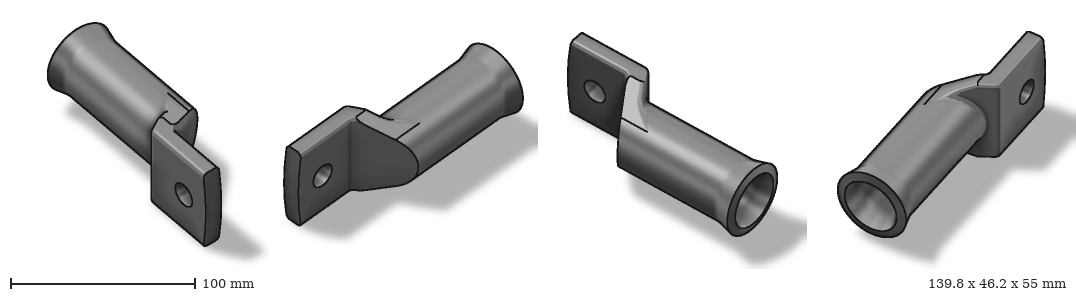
import cadquery as cq
import math

NearestPoint = cq.selectors.NearestToPointSelector

WALL = 5.5
TUBE_RADIUS = 19.25
BORE_RADIUS = TUBE_RADIUS - WALL
BORE_DEPTH = 75.0

FLARE_ANGLE = math.radians(15.0)
FLARE_BEND_RADIUS = 11.4
FLARE_RIM_RADIUS = 22.0
RIM_X = WALL * math.sin(FLARE_ANGLE)
MOUTH_RADIUS = FLARE_RIM_RADIUS - WALL * math.cos(FLARE_ANGLE)
BEND_END_RADIUS = TUBE_RADIUS + FLARE_BEND_RADIUS * (1 - math.cos(FLARE_ANGLE))
BEND_END_X = RIM_X + (FLARE_RIM_RADIUS - BEND_END_RADIUS) / math.tan(FLARE_ANGLE)
FLARE_BEND_X = BEND_END_X + FLARE_BEND_RADIUS * math.sin(FLARE_ANGLE)

OVERALL_LENGTH = 139.78
OVERALL_DEPTH = 46.2
PAD_WIDTH = 55.0
PLATE_THICKNESS = 2 * WALL
SLANT_ANGLE = math.radians(60.0)
TUBE_TOP_LENGTH = 79.7
PAD_END_RADIUS = 165.0
PAD_BOTTOM_Y = FLARE_RIM_RADIUS - OVERALL_DEPTH
PAD_TOP_Y = PAD_BOTTOM_Y + PLATE_THICKNESS

TAPER_START_Y = -12.6
TAPER_START_DISTANCE = math.hypot(TAPER_START_Y, PAD_WIDTH / 2)
TAPER_START_ANGLE = math.atan2(PAD_WIDTH / 2, TAPER_START_Y)
TANGENT_ANGLE = TAPER_START_ANGLE - math.acos(TUBE_RADIUS / TAPER_START_DISTANCE)
TANGENT_MARGIN = 0.3
TAPER_END_Y = TUBE_RADIUS * math.cos(TANGENT_ANGLE) - TANGENT_MARGIN

STRIP_WIDTH = 70.0
STRIP_TOP_Y = 35.0

HOLE_DIAMETER = 14.5
HOLE_X = 120.9

BEND_RADIUS = 4.0
EDGE_RADIUS = 3.0
TUBE_FILLET_RADIUS = 4.0


def upper_slant_x(y):
    """X of the slanted upper face at height y."""
    return TUBE_TOP_LENGTH + (TUBE_RADIUS - y) / math.tan(SLANT_ANGLE)


def lower_slant_x(y):
    """X of the slanted lower face, one plate thickness behind the upper one."""
    return upper_slant_x(y) - PLATE_THICKNESS / math.sin(SLANT_ANGLE)


def taper_z(y):
    """Half width of the tapered sides at height y: the tangent line of the tube circle."""
    return (TUBE_RADIUS - y * math.cos(TANGENT_ANGLE)) / math.sin(TANGENT_ANGLE)


def make_strip():
    """Untrimmed pad and slanted plate: a straight-sided strip with rounded bends."""
    lower_bend = (lower_slant_x(PAD_BOTTOM_Y), PAD_BOTTOM_Y)
    upper_bend = (upper_slant_x(PAD_TOP_Y), PAD_TOP_Y)
    strip = (
        cq.Workplane("XY")
        .polyline([
            lower_bend,
            (OVERALL_LENGTH, PAD_BOTTOM_Y),
            (OVERALL_LENGTH, PAD_TOP_Y),
            upper_bend,
            (upper_slant_x(STRIP_TOP_Y), STRIP_TOP_Y),
            (lower_slant_x(STRIP_TOP_Y), STRIP_TOP_Y),
        ])
        .close()
        .extrude(STRIP_WIDTH / 2, both=True)
    )
    for x, y in (lower_bend, upper_bend):
        strip = strip.edges(NearestPoint((x, y, 0))).fillet(BEND_RADIUS)
    return strip


def make_tube():
    """Solid tube, cut off along the slanted upper face."""
    side_outline = (
        cq.Workplane("XY")
        .polyline([
            (FLARE_BEND_X, -TUBE_RADIUS),
            (upper_slant_x(-TUBE_RADIUS), -TUBE_RADIUS),
            (TUBE_TOP_LENGTH, TUBE_RADIUS),
            (FLARE_BEND_X, TUBE_RADIUS),
        ])
        .close()
        .extrude(TUBE_RADIUS, both=True)
    )
    bar = cq.Workplane("YZ").circle(TUBE_RADIUS).extrude(OVERALL_LENGTH)
    return bar.intersect(side_outline)


def join_with_fillet(strip, tube):
    """Join strip and tube, blending the tube into the slanted lower face all round."""
    return strip.union(tube).edges("%ELLIPSE").fillet(TUBE_FILLET_RADIUS)


def trim_to_pad_outline(body):
    """Trim the sides to full pad width, then the taper, and the free end to its shallow arc.

    Everything above the taper is cut away, just short of where the taper touches the tube.
    """
    half_width = PAD_WIDTH / 2
    end_outline = (
        cq.Workplane("YZ")
        .polyline([
            (PAD_BOTTOM_Y, -half_width),
            (TAPER_START_Y, -half_width),
            (TAPER_END_Y, -taper_z(TAPER_END_Y)),
            (TAPER_END_Y, taper_z(TAPER_END_Y)),
            (TAPER_START_Y, half_width),
            (PAD_BOTTOM_Y, half_width),
        ])
        .close()
        .extrude(OVERALL_LENGTH)
    )
    free_end = (
        cq.Workplane("XZ")
        .center(OVERALL_LENGTH - PAD_END_RADIUS, 0)
        .circle(PAD_END_RADIUS)
        .extrude(OVERALL_DEPTH, both=True)
    )
    return body.intersect(end_outline).intersect(free_end)


def round_side_edges(body):
    """Round the pad sides, top and bottom, and the underside of the slanted plate."""
    half_width = PAD_WIDTH / 2
    taper_y = TAPER_START_Y / 2
    straight_y = (TAPER_START_Y + PAD_BOTTOM_Y) / 2
    edges = []
    for side in (-1, 1):
        edge_points = [
            (HOLE_X, PAD_BOTTOM_Y, side * half_width),
            (HOLE_X, PAD_TOP_Y, side * half_width),
            (lower_slant_x(straight_y), straight_y, side * half_width),
            (lower_slant_x(taper_y), taper_y, side * taper_z(taper_y)),
        ]
        for point in edge_points:
            edges += body.edges(NearestPoint(point)).vals()
    return body.newObject(edges).fillet(EDGE_RADIUS)


def wall_bend_point(bend_radius, angle):
    """Point on one face of the flare bend, turned by an angle from the straight tube."""
    x = FLARE_BEND_X - bend_radius * math.sin(angle)
    radius = TUBE_RADIUS + FLARE_BEND_RADIUS - bend_radius * math.cos(angle)
    return (x, radius)


def revolve_about_tube_axis(outline):
    """Close a half outline and revolve it fully about the X axis."""
    return outline.close().revolve(360, (0, 0, 0), (1, 0, 0))


def make_flare():
    """Solid flared mouth; its end face is square to the flared wall."""
    return revolve_about_tube_axis(
        cq.Workplane("XY")
        .moveTo(FLARE_BEND_X, 0)
        .lineTo(FLARE_BEND_X, TUBE_RADIUS)
        .threePointArc(
            wall_bend_point(FLARE_BEND_RADIUS, FLARE_ANGLE / 2),
            wall_bend_point(FLARE_BEND_RADIUS, FLARE_ANGLE),
        )
        .lineTo(RIM_X, FLARE_RIM_RADIUS)
        .lineTo(0, MOUTH_RADIUS)
        .lineTo(0, 0)
    )


def make_bore():
    """Blind bore that follows the flare at a constant wall thickness."""
    inner_bend_radius = FLARE_BEND_RADIUS + WALL
    return revolve_about_tube_axis(
        cq.Workplane("XY")
        .moveTo(0, 0)
        .lineTo(0, MOUTH_RADIUS)
        .lineTo(*wall_bend_point(inner_bend_radius, FLARE_ANGLE))
        .threePointArc(
            wall_bend_point(inner_bend_radius, FLARE_ANGLE / 2),
            (FLARE_BEND_X, BORE_RADIUS),
        )
        .lineTo(BORE_DEPTH, BORE_RADIUS)
        .lineTo(BORE_DEPTH, 0)
    )


def make_bolt_hole():
    """Cylinder for the bolt hole, running along Y right through the pad."""
    return (
        cq.Workplane("XZ")
        .center(HOLE_X, 0)
        .circle(HOLE_DIAMETER / 2)
        .extrude(OVERALL_DEPTH, both=True)
    )


tube = make_tube()
lug = trim_to_pad_outline(join_with_fillet(make_strip(), tube))
body = round_side_edges(lug).union(tube).union(make_flare())
result = body.cut(make_bore()).cut(make_bolt_hole())